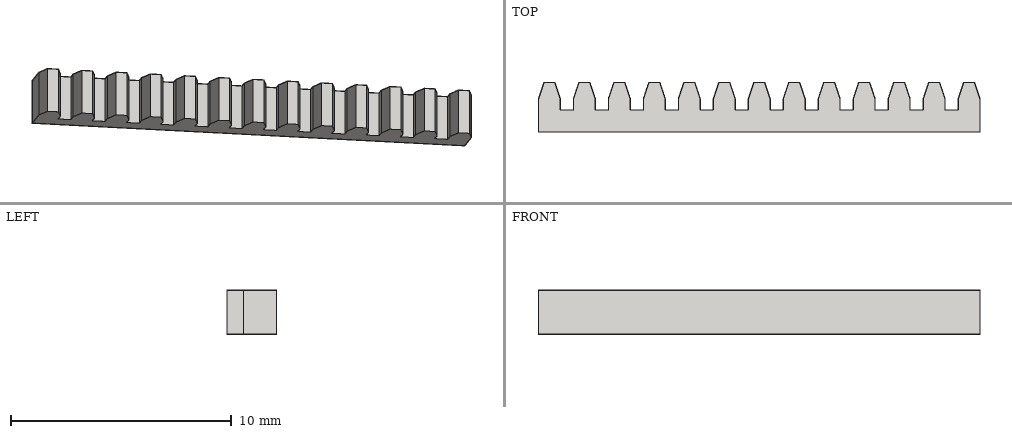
import cadquery as cq

length = 20.0
depth = 2.25
height = 2.0

tooth_count = 13
tooth_width = 1.0
tip_width = 0.5
tooth_height = 1.25
taper_height = 0.75
pitch = (length - tooth_width) / (tooth_count - 1)

base_depth = depth - tooth_height
shoulder_y = depth - taper_height


def make_base():
    """Plain bar that carries the teeth."""
    return cq.Workplane("XY").box(length, base_depth, height, centered=False)


def make_tooth(center_x):
    """Straight-sided tooth with a tapered tip, spanning the full height."""
    half_width = tooth_width / 2
    half_tip = tip_width / 2
    outline = [
        (center_x - half_width, 0),
        (center_x + half_width, 0),
        (center_x + half_width, shoulder_y),
        (center_x + half_tip, depth),
        (center_x - half_tip, depth),
        (center_x - half_width, shoulder_y),
    ]
    return cq.Workplane("XY").polyline(outline).close().extrude(height)


rack = make_base()
for index in range(tooth_count):
    rack = rack.union(make_tooth(tooth_width / 2 + index * pitch))

result = rack.clean()